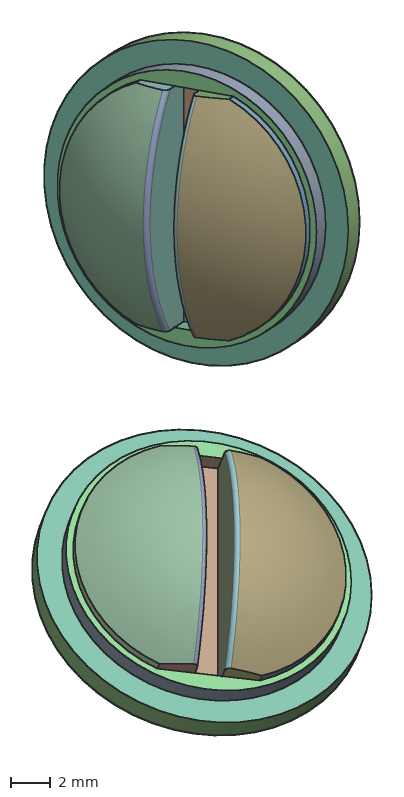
import cadquery as cq
import math

flange_radius = 8.65
flange_depth = 1.5
flange_edge_round = 0.31
collar_radius = 7.37
collar_depth = 1.0
dome_radius = 7.0
dome_rim_depth = 0.47
dome_height = 2.55
flat_half_height = 6.49
slot_width = 1.4
slot_edge_round = 0.25
edge_search_margin = 0.17

total_depth = flange_depth + collar_depth + dome_rim_depth + dome_height
back_y = total_depth / 2
flange_front_y = back_y - flange_depth
collar_front_y = flange_front_y - collar_depth
rim_front_y = collar_front_y - dome_rim_depth
apex_y = rim_front_y - dome_height


def disc(radius, start_y, depth):
    """Disc on the Y axis running from start_y toward -Y."""
    return cq.Workplane("XZ", origin=(0, start_y, 0)).circle(radius).extrude(depth)


def make_slot():
    """Slot between the flats, reaching through dome and collar to the flange."""
    slot_depth = flange_front_y - apex_y
    return (
        cq.Workplane("XZ", origin=(0, flange_front_y, 0))
        .rect(slot_width, 2 * flat_half_height)
        .extrude(slot_depth)
    )


def make_dome():
    """Domed disc with flat top and bottom, split by a round-edged slot."""
    sphere_radius = (dome_radius**2 + dome_height**2) / (2 * dome_height)
    middle_x = dome_radius / 2
    middle_y = apex_y + sphere_radius - math.sqrt(sphere_radius**2 - middle_x**2)
    dome = (
        cq.Workplane("XY")
        .moveTo(0, collar_front_y)
        .lineTo(dome_radius, collar_front_y)
        .lineTo(dome_radius, rim_front_y)
        .threePointArc((middle_x, middle_y), (0, apex_y))
        .close()
        .revolve(360, (0, 0, 0), (0, 1, 0))
    )
    trim_size = 2 * flange_radius
    dome = dome.intersect(cq.Workplane("XY").box(trim_size, trim_size, 2 * flat_half_height))
    dome = dome.cut(make_slot())
    reach_x = slot_width / 2 + edge_search_margin
    slot_mouth = cq.selectors.BoxSelector(
        (-reach_x, apex_y - edge_search_margin, -edge_search_margin),
        (reach_x, rim_front_y, edge_search_margin),
    )
    return dome.edges(slot_mouth).fillet(slot_edge_round)


flange = disc(flange_radius, back_y, flange_depth).faces(">Y").edges().fillet(flange_edge_round)
collar = disc(collar_radius, flange_front_y, collar_depth).cut(make_slot())
result = flange.union(collar).union(make_dome())